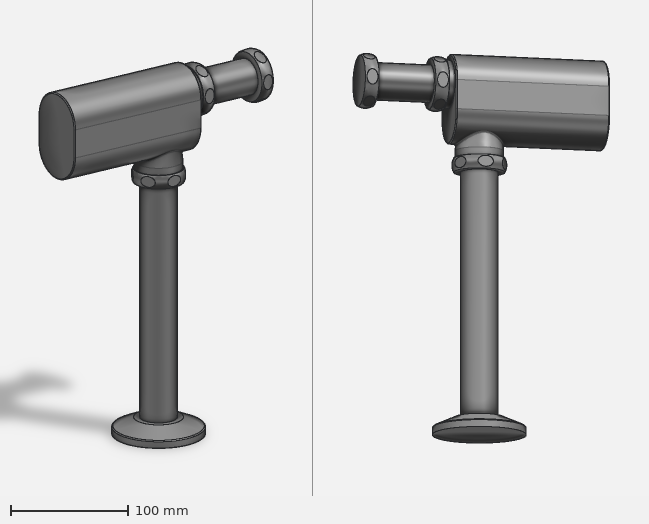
import cadquery as cq
import math

TOTAL_HEIGHT = 328.0
TUBE_RADIUS = 32.0 / 2

FLANGE_RADIUS = 80.0 / 2
FLANGE_RIM_HEIGHT = 7.0
FLANGE_HEIGHT = 14.8
FLANGE_TOP_RADIUS = 21.3
FLANGE_EDGE_CHAMFER = 1.0

BODY_WIDTH = 51.8
BODY_HEIGHT = 77.0
BODY_FRONT = -108.2
BODY_BACK = 26.5
BODY_EDGE_CHAMFER = 1.0
BODY_RADIUS = BODY_WIDTH / 2
BODY_CENTER_Z = TOTAL_HEIGHT - BODY_HEIGHT / 2

NUT_LENGTH = 12.0
NUT_MAX_RADIUS = 23.45
NUT_END_RADIUS = 21.8
NUT_APOTHEM = 22.47
COLUMN_NUT_TOP = 239.5

COLLAR_RADIUS = 41.5 / 2
COLUMN_COLLAR_LENGTH = 6.2
OUTLET_COLLAR_LENGTH = 4.0
COLLAR_TIP_RADIUS = 19.0
COLLAR_TAPER_LENGTH = 14.0
JUNCTION_FILLET = 1.5

OUTLET_Z = TOTAL_HEIGHT - BODY_RADIUS
OUTLET_END = 105.5
OUTLET_NUT_BACK = 31.5


def make_nut():
    """Nut along +Z from the origin, with flats facing +X and -X."""
    barrel = (
        cq.Workplane("XZ")
        .lineTo(NUT_END_RADIUS, 0)
        .threePointArc((NUT_MAX_RADIUS, NUT_LENGTH / 2), (NUT_END_RADIUS, NUT_LENGTH))
        .lineTo(0, NUT_LENGTH)
        .close()
        .revolve(360, (0, 0), (0, 1))
    )
    corner_diameter = 2 * NUT_APOTHEM / math.cos(math.pi / 6)
    flats = (
        cq.Workplane("XY")
        .transformed(rotate=(0, 0, 30))
        .polygon(6, corner_diameter)
        .extrude(NUT_LENGTH)
    )
    return barrel.intersect(flats)


def make_collar(straight_length):
    """Straight collar along +Z from the origin, then a taper that ends inside the body."""
    tip_z = straight_length + COLLAR_TAPER_LENGTH
    return (
        cq.Workplane("XZ")
        .lineTo(COLLAR_RADIUS, 0)
        .lineTo(COLLAR_RADIUS, straight_length)
        .lineTo(COLLAR_TIP_RADIUS, tip_z)
        .lineTo(0, tip_z)
        .close()
        .revolve(360, (0, 0), (0, 1))
    )


def make_flange():
    return (
        cq.Workplane("XZ")
        .lineTo(FLANGE_RADIUS, 0)
        .lineTo(FLANGE_RADIUS, FLANGE_RIM_HEIGHT - FLANGE_EDGE_CHAMFER)
        .lineTo(FLANGE_RADIUS - FLANGE_EDGE_CHAMFER, FLANGE_RIM_HEIGHT)
        .lineTo(FLANGE_TOP_RADIUS, FLANGE_HEIGHT)
        .lineTo(0, FLANGE_HEIGHT)
        .close()
        .revolve(360, (0, 0), (0, 1))
    )


def make_body():
    return (
        cq.Workplane("XZ", origin=(0, BODY_BACK, BODY_CENTER_Z))
        .slot2D(BODY_HEIGHT, BODY_WIDTH, 90)
        .extrude(BODY_BACK - BODY_FRONT)
        .faces("<Y or >Y")
        .edges()
        .chamfer(BODY_EDGE_CHAMFER)
    )


def make_column():
    tube = cq.Workplane("XY").circle(TUBE_RADIUS).extrude(COLUMN_NUT_TOP)
    nut = make_nut().translate((0, 0, COLUMN_NUT_TOP - NUT_LENGTH))
    collar = make_collar(COLUMN_COLLAR_LENGTH).translate((0, 0, COLUMN_NUT_TOP))
    return tube.union(nut).union(collar).union(make_flange())


def place_on_outlet(shape, y):
    """Turn a shape built along +Z to lie along the outlet axis, starting at y."""
    return shape.rotate((0, 0, 0), (1, 0, 0), -90).translate((0, y, OUTLET_Z))


def make_outlet():
    tube_length = OUTLET_END - OUTLET_NUT_BACK
    tube = cq.Workplane("XY").circle(TUBE_RADIUS).extrude(tube_length)
    outlet = place_on_outlet(tube, OUTLET_NUT_BACK)
    for nut_start in (OUTLET_NUT_BACK, OUTLET_END - NUT_LENGTH):
        outlet = outlet.union(place_on_outlet(make_nut(), nut_start))
    collar = make_collar(OUTLET_COLLAR_LENGTH).rotate((0, 0, 0), (1, 0, 0), 180)
    return outlet.union(place_on_outlet(collar, OUTLET_NUT_BACK))


def join_column_to_body():
    """Join the column to the body and round the curved edge where the collar enters it."""
    joined = make_column().union(make_body())
    edge_zone = cq.selectors.BoxSelector(
        (-COLLAR_RADIUS, -COLLAR_RADIUS, COLUMN_NUT_TOP + COLUMN_COLLAR_LENGTH + JUNCTION_FILLET),
        (COLLAR_RADIUS, COLLAR_RADIUS, BODY_CENTER_Z),
        boundingbox=True,
    )
    return joined.edges(edge_zone).fillet(JUNCTION_FILLET)


result = join_column_to_body().union(make_outlet())